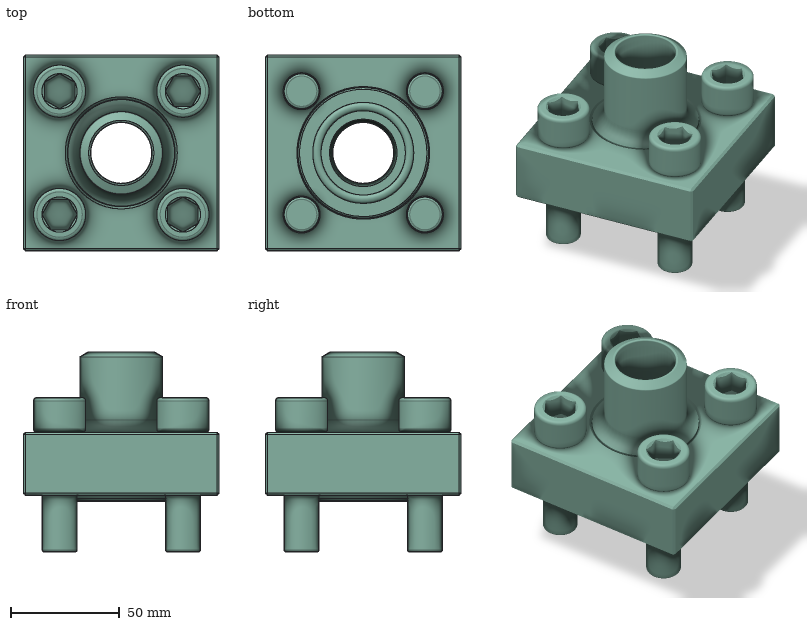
import cadquery as cq
import math

flange_side = 90.0
flange_height = 29.0
flange_chamfer = 1.0
flange_bore = 49.5
flange_bore_chamfer = 1.0
counterbore_diameter = 61.0
screw_hole_diameter = 17.0
screw_spacing = 56.7

neck_bottom = -2.3
neck_top = 66.0
bore_diameter = 28.0
bore_mouth_diameter = 31.0
bore_taper_top = 47.6
pipe_diameter = 38.0
hub_diameter = 49.0
collar_diameter = 60.0
collar_top = 14.0
collar_chamfer = 0.7
bevel_tip_diameter = 30.0
bevel_angle = 30
edge_rounding = 0.5
bevel_height = (pipe_diameter - bevel_tip_diameter) / 2 * math.tan(math.radians(bevel_angle))

ring_outer_diameter = 46.5
ring_inner_diameter = 38.7
ring_protrusion = 0.6
ring_section = (ring_outer_diameter - ring_inner_diameter) / 2
ring_center_radius = (ring_outer_diameter + ring_inner_diameter) / 4
ring_center_z = neck_bottom - ring_protrusion + ring_section / 2

head_diameter = 24.0
head_height = 15.9
head_fillet = 1.6
shank_diameter = 16.0
shank_end_z = -26.0
shank_end_fillet = 1.0
socket_corner_diameter = 16.2
socket_depth = 11
socket_cone_angle = 45
socket_cone_depth = socket_corner_diameter / 2 * math.tan(math.radians(socket_cone_angle))

screw_places = [
    (side_x * screw_spacing / 2, side_y * screw_spacing / 2)
    for side_x in (-1, 1)
    for side_y in (-1, 1)
]


def disc(diameter, bottom_z, top_z):
    """Cylinder about the Z axis between two heights."""
    return cq.Workplane("XY", origin=(0, 0, bottom_z)).circle(diameter / 2).extrude(top_z - bottom_z)


def make_flange():
    """Square block with a stepped bore for the neck and four screw holes."""
    block = (
        cq.Workplane("XY")
        .box(flange_side, flange_side, flange_height, centered=(True, True, False))
        .edges()
        .chamfer(flange_chamfer)
    )
    bore = disc(flange_bore, 0, flange_height)
    bore_edges = cq.Workplane(
        cq.Solid.makeCone(
            flange_bore / 2,
            flange_bore / 2 + flange_bore_chamfer,
            flange_bore_chamfer,
            pnt=cq.Vector(0, 0, flange_height - flange_bore_chamfer),
        )
    )
    counterbore = disc(counterbore_diameter, 0, collar_top)
    screw_holes = (
        cq.Workplane("XY")
        .pushPoints(screw_places)
        .circle(screw_hole_diameter / 2)
        .extrude(flange_height)
    )
    return block.cut(bore).cut(bore_edges).cut(counterbore).cut(screw_holes)


def make_neck():
    """Turned weld neck: collar, hub, concave fillet up to the pipe, weld bevel and tapered bore."""
    pipe_radius = pipe_diameter / 2
    hub_radius = hub_diameter / 2
    collar_radius = collar_diameter / 2
    fillet_radius = hub_radius - pipe_radius
    fillet_middle = fillet_radius * math.sqrt(0.5)
    fillet_center_z = flange_height + fillet_radius
    bevel_base_z = neck_top - bevel_height
    body = (
        cq.Workplane("XZ")
        .moveTo(bore_mouth_diameter / 2, neck_bottom)
        .lineTo(collar_radius - collar_chamfer, neck_bottom)
        .lineTo(collar_radius, neck_bottom + collar_chamfer)
        .lineTo(collar_radius, collar_top)
        .lineTo(hub_radius, collar_top)
        .lineTo(hub_radius, flange_height)
        .threePointArc(
            (hub_radius - fillet_middle, fillet_center_z - fillet_middle),
            (pipe_radius, fillet_center_z),
        )
        .lineTo(pipe_radius, bevel_base_z)
        .lineTo(bevel_tip_diameter / 2, neck_top)
        .lineTo(bore_diameter / 2, neck_top)
        .lineTo(bore_diameter / 2, bore_taper_top)
        .close()
        .revolve(360, (0, 0, 0), (0, 1, 0))
    )
    body = body.edges(cq.NearestToPointSelector((0, 0, bevel_base_z))).fillet(edge_rounding)
    body = body.faces(">Z").edges(cq.selectors.RadiusNthSelector(0)).fillet(edge_rounding)
    groove_top = ring_center_z + ring_section / 2
    groove = disc(ring_outer_diameter, neck_bottom, groove_top).cut(
        disc(ring_inner_diameter, neck_bottom, groove_top)
    )
    return body.cut(groove)


def make_sealing_ring():
    """Round-section ring that sits in the groove and stands out below the neck."""
    return (
        cq.Workplane("XZ")
        .center(ring_center_radius, ring_center_z)
        .circle(ring_section / 2)
        .revolve(360, (-ring_center_radius, 0, 0), (-ring_center_radius, 1, 0))
    )


def make_screw(x, y):
    """Socket head screw at (x, y); the sockets of neighbouring screws are turned by 30 degrees."""
    head_top = flange_height + head_height
    head = disc(head_diameter, flange_height, head_top).edges().fillet(head_fillet)
    shank = disc(shank_diameter, shank_end_z, flange_height).faces("<Z").edges().fillet(shank_end_fillet)
    socket = (
        cq.Workplane("XY", origin=(0, 0, head_top - socket_depth))
        .polygon(6, socket_corner_diameter)
        .extrude(socket_depth)
    )
    if x * y < 0:
        socket = socket.rotate((0, 0, 0), (0, 0, 1), 30)
    socket_mouth = cq.Workplane(
        cq.Solid.makeCone(
            0,
            socket_corner_diameter / 2,
            socket_cone_depth,
            pnt=cq.Vector(0, 0, head_top - socket_cone_depth),
        )
    )
    return head.union(shank).cut(socket).cut(socket_mouth).translate((x, y, 0))


flange = make_flange()
neck = make_neck()
sealing_ring = make_sealing_ring()
screws = [make_screw(x, y) for x, y in screw_places]

result = cq.Compound.makeCompound(
    [flange.val(), neck.val(), sealing_ring.val(), *[screw.val() for screw in screws]]
)